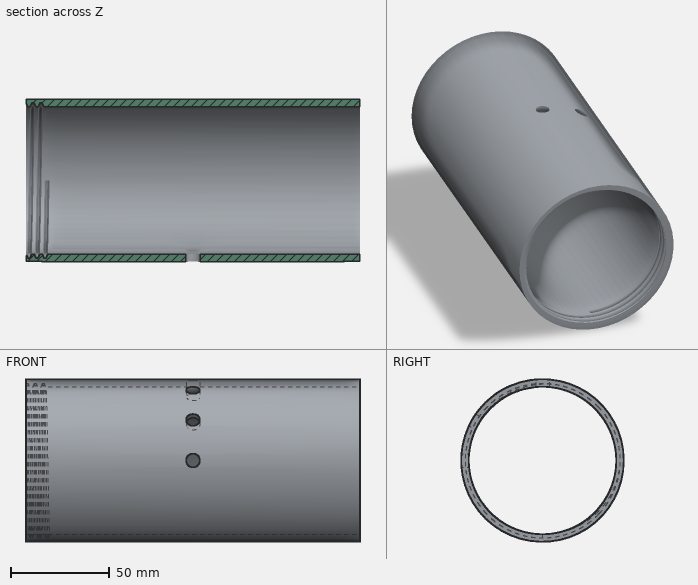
import cadquery as cq

length = 170.0
outer_diameter = 82.8
bore_diameter = 75.0
outer_radius = outer_diameter / 2
bore_radius = bore_diameter / 2

hole_diameter = 7.0
hole_count = 4
hole_spacing_angle = 30.0

thread_pitch = 4.0
thread_turns = 3
groove_depth = 1.9
groove_mouth = 2.5
groove_floor = 0.8
groove_overlap = 0.3
thread_start_offset = -1.45


def make_tube():
    return (
        cq.Workplane("YZ")
        .circle(outer_radius)
        .circle(bore_radius)
        .extrude(length)
        .translate((-length / 2, 0, 0))
    )


def make_radial_hole(angle):
    """Cutter pointing along -Y, turned by angle towards +Z."""
    return (
        cq.Workplane("XZ")
        .circle(hole_diameter / 2)
        .extrude(outer_diameter)
        .rotate((0, 0, 0), (1, 0, 0), -angle)
    )


def make_thread_groove():
    """Swept groove, built along Z and then laid along X at the tube end."""
    helix = cq.Wire.makeHelix(thread_pitch, thread_pitch * thread_turns, bore_radius)
    flank_slope = (groove_mouth - groove_floor) / 2 / groove_depth
    inner_half_width = groove_mouth / 2 + flank_slope * groove_overlap
    inner_radius = bore_radius - groove_overlap
    floor_radius = bore_radius + groove_depth
    groove = (
        cq.Workplane("XZ")
        .moveTo(inner_radius, -inner_half_width)
        .lineTo(floor_radius, -groove_floor / 2)
        .lineTo(floor_radius, groove_floor / 2)
        .lineTo(inner_radius, inner_half_width)
        .close()
        .sweep(cq.Workplane(obj=helix), isFrenet=True)
    )
    return (
        groove.rotate((0, 0, 0), (0, 1, 0), 90)
        .translate((-length / 2 + thread_start_offset, 0, 0))
    )


result = make_tube()
for index in range(hole_count):
    result = result.cut(make_radial_hole(index * hole_spacing_angle))
result = result.cut(make_thread_groove())